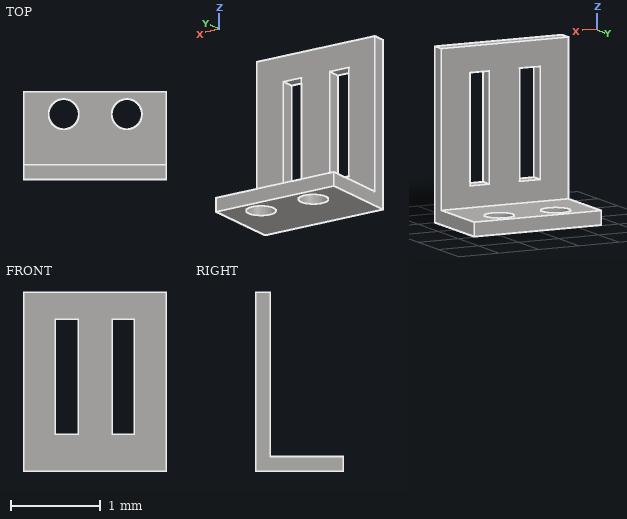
import cadquery as cq

width = 1.59
depth = 0.98
height = 2.0
thickness = 0.165

slots = [(0.352, 0.255), (0.988, 0.242)]
slot_bottom = 0.415
slot_top = 1.695

hole_diameter = 0.335
hole_centers_x = [0.445, 1.15]
hole_center_y = 0.73


def make_bracket():
    """L profile: base along Y, wall rising at the front face Y = 0."""
    base = cq.Workplane("XY").box(width, depth, thickness, centered=False)
    wall = cq.Workplane("XY").box(width, thickness, height, centered=False)
    return base.union(wall)


def make_slot(left, slot_width):
    """Rectangular cutter through the wall."""
    slot_height = slot_top - slot_bottom
    cutter = cq.Workplane("XY").box(slot_width, thickness, slot_height, centered=False)
    return cutter.translate((left, 0, slot_bottom))


def make_hole(center_x):
    """Cylindrical cutter through the base."""
    plane = cq.Workplane("XY").center(center_x, hole_center_y)
    return plane.circle(hole_diameter / 2).extrude(thickness)


result = make_bracket()
for left, slot_width in slots:
    result = result.cut(make_slot(left, slot_width))
for center_x in hole_centers_x:
    result = result.cut(make_hole(center_x))